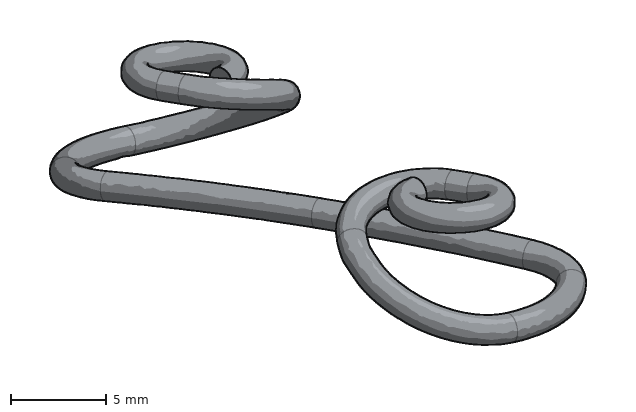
import cadquery as cq
import math

wire_radius = 0.8
overall_length = 38.0

bar_angle = 30.0
bar_half_length = 12.4
arch_radius = 139.88
low_bend_radius = 4.0

coil_radius = 5.35
coil_slope = 0.49

eye_center_x = -12.75
eye_radius = 2.55
eye_tip_angle = 15.0
eye_lead_length = 1.3
eye_z = 6.2

points_per_arc = 9
end_x = wire_radius - overall_length / 2
end_z = wire_radius


def polar(center, radius, degrees):
    """Plan point on a circle."""
    angle = math.radians(degrees)
    return (center[0] + radius * math.cos(angle), center[1] + radius * math.sin(angle))


def arch_height(x):
    """Centreline height on the shallow cylinder that runs along Y."""
    rise_to_crown = arch_radius - math.sqrt(arch_radius**2 - end_x**2)
    sag = arch_radius - math.sqrt(arch_radius**2 - x**2)
    return end_z + rise_to_crown - sag


def coil_height(x):
    """Centreline height on the sloping plane of the rising coil."""
    return end_z + coil_slope * (x - end_x)


def smooth_edge(point_at):
    """Spline through a curve given as point_at(t), with t from 0 to 1."""
    step = 1e-4
    points = [cq.Vector(*point_at(i / (points_per_arc - 1))) for i in range(points_per_arc)]
    start_tangent = cq.Vector(*point_at(step)) - points[0]
    end_tangent = points[-1] - cq.Vector(*point_at(1 - step))
    return cq.Edge.makeSpline(points, tangents=[start_tangent.normalized(), end_tangent.normalized()])


def arc_edge(center, radius, start, end, height):
    """Arc in plan whose height follows height(x)."""
    def point_at(t):
        x, y = polar(center, radius, start + t * (end - start))
        return (x, y, height(x))
    return smooth_edge(point_at)


bar_end = polar((0, 0), bar_half_length, bar_angle + 180)
low_center = polar(bar_end, low_bend_radius, bar_angle + 90)
bend_reach = low_center[0] - end_x
side_radius = (bend_reach**2 + low_center[1]**2 - low_bend_radius**2) / (
    2 * (bend_reach - low_bend_radius)
)
side_center = (end_x + side_radius, 0)
low_join_angle = math.degrees(math.atan2(low_center[1], low_center[0] - side_center[0])) + 360

lead_normal = bar_angle - 90
coil_center = (end_x + coil_radius, 0)
eye_center = (eye_center_x, 0)
eye_start = polar(eye_center, eye_radius, lead_normal)
lead_start = polar(eye_start, eye_lead_length, bar_angle)
inward = polar((0, 0), 1, lead_normal + 180)
offset = (lead_start[0] - coil_center[0], lead_start[1] - coil_center[1])
offset_along_normal = offset[0] * inward[0] + offset[1] * inward[1]
top_bend_radius = (coil_radius**2 - offset[0]**2 - offset[1]**2) / (
    2 * (coil_radius + offset_along_normal)
)
top_center = polar(lead_start, top_bend_radius, lead_normal + 180)
top_join_angle = math.degrees(math.atan2(top_center[1] - coil_center[1], top_center[0] - coil_center[0]))


def bar_point(t):
    x, y = bar_end[0] * t, bar_end[1] * t
    return (x, y, arch_height(x))


def top_bend_point(t):
    """Plan arc that eases from the coil's climb to the level of the eye."""
    sweep = top_join_angle - lead_normal
    x, y = polar(top_center, top_bend_radius, top_join_angle - t * sweep)
    start_z = coil_height(polar(top_center, top_bend_radius, top_join_angle)[0])
    climb = coil_slope * math.sin(math.radians(top_join_angle)) * top_bend_radius * math.radians(sweep)
    z = start_z + (eye_z - start_z) * t**2 * (3 - 2 * t) + climb * t * (1 - t)**2
    return (x, y, z)


def eye_edge():
    middle_angle = (eye_tip_angle + lead_normal + 360) / 2
    plan_points = [polar(eye_center, eye_radius, a) for a in (lead_normal, middle_angle, eye_tip_angle)]
    return cq.Edge.makeThreePointArc(*[cq.Vector(x, y, eye_z) for x, y in plan_points])


def half_wire():
    """Wire from the middle of the bar to the tip of one eye."""
    edges = [
        smooth_edge(bar_point),
        arc_edge(low_center, low_bend_radius, lead_normal, low_join_angle - 360, arch_height),
        arc_edge(side_center, side_radius, low_join_angle, 180, arch_height),
        arc_edge(coil_center, coil_radius, 180, top_join_angle, coil_height),
        smooth_edge(top_bend_point),
        cq.Edge.makeLine(cq.Vector(*lead_start, eye_z), cq.Vector(*eye_start, eye_z)),
        eye_edge(),
    ]
    path = cq.Workplane(cq.Wire.assembleEdges(edges))
    start = cq.Plane(origin=bar_point(0), normal=(bar_end[0], bar_end[1], 0))
    return cq.Workplane(start).circle(wire_radius).sweep(path)


half = half_wire()
result = half.union(half.rotate((0, 0, 0), (0, 0, 1), 180))